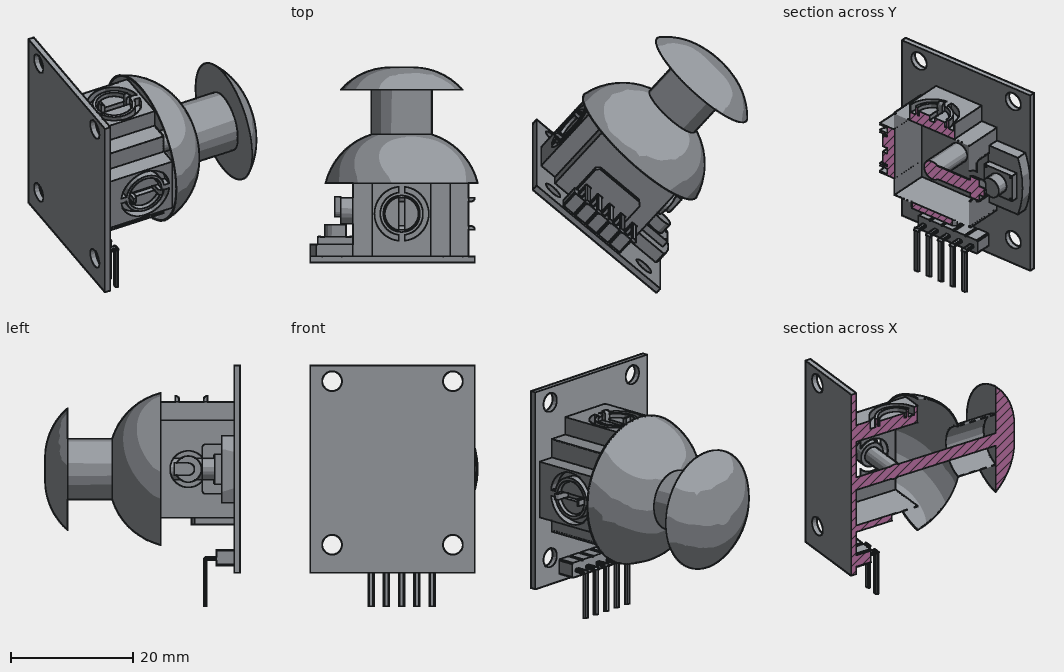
import cadquery as cq
import math


BOARD_LEFT = -15.0
BOARD_WIDTH = 27.0
BOARD_HEIGHT = 34.0
BOARD_THICKNESS = 1.0
BOARD_TOP = BOARD_HEIGHT / 2
BOARD_CENTER_X = BOARD_LEFT + BOARD_WIDTH / 2
MOUNT_HOLE_DIAMETER = 3.2
MOUNT_HOLE_SPACING_X = 19.8
MOUNT_HOLE_SPACING_Z = 26.8
MOUNT_HOLE_CENTER_Z = 1.0

HOUSING_SIZE = 16.0
HOUSING_HALF = HOUSING_SIZE / 2
HOUSING_TOP_Y = 13.0
HOUSING_WALL = 0.2
SIDE_PLATE_WIDTH = 9.6
SIDE_PLATE_TOP_Y = 8.0
SIDE_PLATE_THICKNESS = 1.1
SIDE_PLATE_CHAMFER = 0.55

POT_WIDTH = 9.6
POT_DEPTH = 3.0
POT_CENTER_Y = 8.0
POT_GROOVE_OUTER_DIAMETER = 8.9
POT_GROOVE_INNER_DIAMETER = 7.0
POT_GROOVE_DEPTH = 1.5
POT_BRIDGE_WIDTH = 1.0
POT_WELL_DIAMETER = 6.0
POT_WELL_DEPTH = 1.5
ROTOR_DIAMETER = 5.5
ROTOR_RECESS = 0.6
ROTOR_SLOT_WIDTH = 1.0
PRONG_HEIGHT = 1.0
PRONG_OUTER_OFFSET = 2.66
PRONG_THICKNESS = 0.66
PRONG_ROUNDING = 0.6

ROCKER_CENTER_Y = 8.5
ROCKER_HOLE_DIAMETER = 6.0
ROCKER_DIAMETER = 4.3
ROCKER_LENGTH = 2.0
ROCKER_PIVOT_DIAMETER = 2.8
ROCKER_TAB_WIDTH = 2.0
ROCKER_TAB_THICKNESS = 1.0
ROCKER_TAB_TOP_Y = 10.8

WINDOW_WIDTH = 8.1
WINDOW_TOP_Y = 6.2
WINDOW_CORNER_RADIUS = 0.5
SWITCH_BASE_WIDTH = 11.0
SWITCH_BASE_TOP_Y = 3.0
SWITCH_BASE_BULGE = 1.0
SWITCH_BODY_LENGTH = 5.8
SWITCH_BODY_WIDTH = 4.9
SWITCH_BODY_TOP_Y = 4.2
SWITCH_CENTER_X = -10.85
SWITCH_BUTTON_DIAMETER = 3.5
SWITCH_BUTTON_TOP_Y = 6.2
RIVET_DIAMETER = 0.3
RIVET_HEIGHT = 0.1
RIVET_INSET = 0.3

SHAFT_DIAMETER = 3.5
STEM_DIAMETER = 10.0
SHELL_THICKNESS = 0.2
DOME_RIM_RADIUS = 12.5
DOME_RIM_Y = 13.0
DOME_ARC_CENTER_RADIUS = 1.55
DOME_ARC_CENTER_Y = 10.25
CAP_RIM_RADIUS = 10.0
CAP_RIM_Y = 28.3
CAP_TOP_Y = 32.02
CAP_ARC_CENTER_RADIUS = 1.8
CAP_ARC_WIDTH = CAP_RIM_RADIUS - CAP_ARC_CENTER_RADIUS
CAP_ARC_RISE = CAP_TOP_Y - CAP_RIM_Y
CAP_ARC_CENTER_Y = CAP_TOP_Y - (CAP_ARC_WIDTH**2 + CAP_ARC_RISE**2) / (2 * CAP_ARC_RISE)

PIN_COUNT = 5
PIN_PITCH = 2.5
HEADER_TOP_Y = 3.9
HEADER_CENTER_Z = -14.5
HEADER_HEIGHT = 2.6
HEADER_CHAMFER = 0.2
PIN_WIDTH = 1.0
PIN_THICKNESS = 0.55
PIN_CHAMFER = 0.2
PIN_OUTER_Y = 6.0
PIN_BEND_Z = -14.4
PIN_TIP_Z = -22.5
PIN_BEND_CHAMFER = 0.35


def block(x_range, y_range, z_range):
    """Axis-aligned box given by its lower and upper limit on each axis."""
    size = [high - low for low, high in (x_range, y_range, z_range)]
    corner = (x_range[0], y_range[0], z_range[0])
    return cq.Workplane("XY").box(*size, centered=False).translate(corner)


def rod_y(diameter, y_start, y_end, x=0.0, z=0.0):
    """Cylinder along Y."""
    solid = cq.Solid.makeCylinder(
        diameter / 2, y_end - y_start, cq.Vector(x, y_start, z), cq.Vector(0, 1, 0)
    )
    return cq.Workplane(obj=solid)


def rod_x(diameter, x_start, x_end, y):
    """Cylinder along X at z = 0."""
    solid = cq.Solid.makeCylinder(
        diameter / 2, x_end - x_start, cq.Vector(x_start, y, 0), cq.Vector(1, 0, 0)
    )
    return cq.Workplane(obj=solid)


def rod_z(diameter, z_start, z_end, y):
    """Cylinder along Z at x = 0."""
    return cq.Workplane("XY", origin=(0, y, z_start)).circle(diameter / 2).extrude(z_end - z_start)


def make_board():
    """Rectangular board with four mounting holes."""
    board = block(
        (BOARD_LEFT, BOARD_LEFT + BOARD_WIDTH), (0, BOARD_THICKNESS), (-BOARD_TOP, BOARD_TOP)
    )
    for x_side in (-1, 1):
        for z_side in (-1, 1):
            x = BOARD_CENTER_X + x_side * MOUNT_HOLE_SPACING_X / 2
            z = MOUNT_HOLE_CENTER_Z + z_side * MOUNT_HOLE_SPACING_Z / 2
            board = board.cut(rod_y(MOUNT_HOLE_DIAMETER, 0, BOARD_THICKNESS, x, z))
    return board


def make_housing():
    """Square housing, open towards the dome, with a rocker hole and a switch window in its -X wall."""
    outside = (-HOUSING_HALF, HOUSING_HALF)
    inside = (-HOUSING_HALF + HOUSING_WALL, HOUSING_HALF - HOUSING_WALL)
    housing = block(outside, (BOARD_THICKNESS, HOUSING_TOP_Y), outside)
    housing = housing.cut(block(inside, (BOARD_THICKNESS, HOUSING_TOP_Y), inside))

    wall = (outside[0], inside[0])
    window = block(wall, (BOARD_THICKNESS, WINDOW_TOP_Y), (-WINDOW_WIDTH / 2, WINDOW_WIDTH / 2))
    window = window.edges("|X and >Y").fillet(WINDOW_CORNER_RADIUS)
    rocker_hole = rod_x(ROCKER_HOLE_DIAMETER, *wall, ROCKER_CENTER_Y)
    return housing.cut(window).cut(rocker_hole)


def make_side_plate():
    """Plate with clipped corners on the -Z wall of the housing."""
    plate = block(
        (-SIDE_PLATE_WIDTH / 2, SIDE_PLATE_WIDTH / 2),
        (BOARD_THICKNESS, SIDE_PLATE_TOP_Y),
        (-HOUSING_HALF - SIDE_PLATE_THICKNESS, -HOUSING_HALF),
    )
    return plate.edges("|Z and >Y").chamfer(SIDE_PLATE_CHAMFER)


def make_prong(side, bottom_z, top_z):
    """Rotor prong with its inner top edge rounded; side is +1 or -1 along Y."""
    outer = POT_CENTER_Y + side * PRONG_OUTER_OFFSET
    inner = outer - side * PRONG_THICKNESS
    half_width = ROTOR_SLOT_WIDTH / 2
    prong = block((-half_width, half_width), sorted((inner, outer)), (bottom_z, top_z))
    inner_edge = "<Y" if side > 0 else ">Y"
    return prong.edges(f"|X and >Z and {inner_edge}").fillet(PRONG_ROUNDING)


def make_pot():
    """Potentiometer on the +Z wall: split ring groove and a slotted rotor with two prongs."""
    face_z = HOUSING_HALF + POT_DEPTH
    half_width = POT_WIDTH / 2
    pot = block((-half_width, half_width), (BOARD_THICKNESS, HOUSING_TOP_Y), (HOUSING_HALF, face_z))

    groove_floor = face_z - POT_GROOVE_DEPTH
    groove = rod_z(POT_GROOVE_OUTER_DIAMETER, groove_floor, face_z, POT_CENTER_Y)
    groove = groove.cut(rod_z(POT_GROOVE_INNER_DIAMETER, groove_floor, face_z, POT_CENTER_Y))
    half_bridge = POT_BRIDGE_WIDTH / 2
    bridge = block((-half_bridge, half_bridge), (0, HOUSING_TOP_Y), (groove_floor, face_z))
    pot = pot.cut(groove.cut(bridge))

    well_floor = face_z - POT_WELL_DEPTH
    pot = pot.cut(rod_z(POT_WELL_DIAMETER, well_floor, face_z, POT_CENTER_Y))
    rotor = rod_z(ROTOR_DIAMETER, well_floor, face_z - ROTOR_RECESS, POT_CENTER_Y)
    half_slot = ROTOR_SLOT_WIDTH / 2
    slot = block((-half_slot, half_slot), (0, HOUSING_TOP_Y), (well_floor, face_z))
    pot = pot.union(rotor.cut(slot))
    for side in (-1, 1):
        pot = pot.union(make_prong(side, well_floor, face_z + PRONG_HEIGHT))
    return pot


def make_rocker():
    """Pivot from the stick to a drum outside the -X wall, ending in a round-nosed tab."""
    drum_x = -HOUSING_HALF
    end_x = drum_x - ROCKER_LENGTH
    tab_x = end_x - ROCKER_TAB_THICKNESS
    half_width = ROCKER_TAB_WIDTH / 2
    pivot = rod_x(ROCKER_PIVOT_DIAMETER, drum_x, 0, ROCKER_CENTER_Y)
    drum = rod_x(ROCKER_DIAMETER, end_x, drum_x, ROCKER_CENTER_Y)
    tab = block((tab_x, end_x), (ROCKER_CENTER_Y, ROCKER_TAB_TOP_Y), (-half_width, half_width))
    nose = rod_x(ROCKER_TAB_WIDTH, tab_x, end_x, ROCKER_CENTER_Y)
    return pivot.union(drum).union(tab).union(nose)


def make_switch():
    """Push switch: bulged base, rectangular body with corner rivets, round button."""
    half_base = SWITCH_BASE_WIDTH / 2
    base_corner_x = BOARD_LEFT + SWITCH_BASE_BULGE
    base = (
        cq.Workplane("XZ", origin=(0, BOARD_THICKNESS, 0))
        .moveTo(-HOUSING_HALF, -half_base)
        .lineTo(base_corner_x, -half_base)
        .threePointArc((BOARD_LEFT, 0), (base_corner_x, half_base))
        .lineTo(-HOUSING_HALF, half_base)
        .close()
        .extrude(BOARD_THICKNESS - SWITCH_BASE_TOP_Y)
    )
    foot = block(
        (-HOUSING_HALF, -HOUSING_HALF + HOUSING_WALL),
        (BOARD_THICKNESS, SWITCH_BASE_TOP_Y),
        (-WINDOW_WIDTH / 2, WINDOW_WIDTH / 2),
    )
    half_length = SWITCH_BODY_LENGTH / 2
    half_width = SWITCH_BODY_WIDTH / 2
    body = block(
        (SWITCH_CENTER_X - half_length, SWITCH_CENTER_X + half_length),
        (SWITCH_BASE_TOP_Y, SWITCH_BODY_TOP_Y),
        (-half_width, half_width),
    )
    button = rod_y(SWITCH_BUTTON_DIAMETER, SWITCH_BODY_TOP_Y, SWITCH_BUTTON_TOP_Y, SWITCH_CENTER_X)
    switch = base.union(foot).union(body).union(button)
    for x_side in (-1, 1):
        for z_side in (-1, 1):
            x = SWITCH_CENTER_X + x_side * (half_length - RIVET_INSET)
            z = z_side * (half_width - RIVET_INSET)
            rivet = rod_y(RIVET_DIAMETER, SWITCH_BODY_TOP_Y, SWITCH_BODY_TOP_Y + RIVET_HEIGHT, x, z)
            switch = switch.union(rivet)
    return switch


def crown(rim_radius, rim_y, arc_center_radius, arc_center_y):
    """Solid of revolution about the stick axis with a rounded shoulder that levels off at the top.

    The shoulder arc runs from the rim to a small flat whose radius is arc_center_radius.
    """
    arc_radius = math.hypot(rim_radius - arc_center_radius, rim_y - arc_center_y)
    top_y = arc_center_y + arc_radius
    rim_angle = math.atan2(rim_y - arc_center_y, rim_radius - arc_center_radius)
    middle_angle = (rim_angle + math.pi / 2) / 2
    arc_middle = (
        arc_center_radius + arc_radius * math.cos(middle_angle),
        arc_center_y + arc_radius * math.sin(middle_angle),
    )
    return (
        cq.Workplane("XY")
        .moveTo(0, rim_y)
        .lineTo(rim_radius, rim_y)
        .threePointArc(arc_middle, (arc_center_radius, top_y))
        .lineTo(0, top_y)
        .close()
        .revolve(360, (0, 0, 0), (0, 1, 0))
    )


def make_shell():
    """Thin dome running into a hollow stem, open at the dome rim and closed above by the cap."""
    dome_center = (DOME_ARC_CENTER_RADIUS, DOME_ARC_CENTER_Y)
    dome = crown(DOME_RIM_RADIUS, DOME_RIM_Y, *dome_center)
    dome_cavity = crown(DOME_RIM_RADIUS - SHELL_THICKNESS, DOME_RIM_Y, *dome_center)
    stem = rod_y(STEM_DIAMETER, DOME_RIM_Y, CAP_RIM_Y)
    stem_bore = rod_y(STEM_DIAMETER - 2 * SHELL_THICKNESS, DOME_RIM_Y, CAP_RIM_Y)
    return dome.union(stem).cut(dome_cavity).cut(stem_bore)


def make_stick():
    """Shaft carrying the shell and a solid thumb cap."""
    cap = crown(CAP_RIM_RADIUS, CAP_RIM_Y, CAP_ARC_CENTER_RADIUS, CAP_ARC_CENTER_Y)
    shaft = rod_y(SHAFT_DIAMETER, BOARD_THICKNESS, CAP_RIM_Y)
    return make_shell().union(cap).union(shaft)


def make_pin(x):
    """Header block and the right-angle pin that leaves it, at position x."""
    half_pitch = PIN_PITCH / 2
    header = block(
        (x - half_pitch, x + half_pitch),
        (BOARD_THICKNESS, HEADER_TOP_Y),
        (HEADER_CENTER_Z - HEADER_HEIGHT / 2, HEADER_CENTER_Z + HEADER_HEIGHT / 2),
    )
    header = header.edges("|Y").chamfer(HEADER_CHAMFER)

    pin_x = (x - PIN_WIDTH / 2, x + PIN_WIDTH / 2)
    across_z = (PIN_BEND_Z - PIN_THICKNESS, PIN_BEND_Z)
    across = block(pin_x, (HEADER_TOP_Y, PIN_OUTER_Y), across_z)
    across = across.edges("|Y").chamfer(PIN_CHAMFER)
    down_y = (PIN_OUTER_Y - PIN_THICKNESS, PIN_OUTER_Y)
    down = block(pin_x, down_y, (PIN_TIP_Z, PIN_BEND_Z))
    down = down.edges("|Z").chamfer(PIN_CHAMFER)
    bend_cutter = (
        cq.Workplane("YZ", origin=(pin_x[0], 0, 0))
        .moveTo(PIN_OUTER_Y, PIN_BEND_Z)
        .lineTo(PIN_OUTER_Y - PIN_BEND_CHAMFER, PIN_BEND_Z)
        .lineTo(PIN_OUTER_Y, PIN_BEND_Z - PIN_BEND_CHAMFER)
        .close()
        .extrude(PIN_WIDTH)
    )
    return header.union(across.union(down).cut(bend_cutter))


result = make_board().union(make_housing()).union(make_side_plate())

pot_on_z = make_pot()
pot_on_x = pot_on_z.rotate((0, 0, 0), (0, 1, 0), 90)
result = result.union(pot_on_z).union(pot_on_x)

result = result.union(make_switch()).union(make_stick()).union(make_rocker())

for index in range(PIN_COUNT):
    result = result.union(make_pin((index - (PIN_COUNT - 1) / 2) * PIN_PITCH))